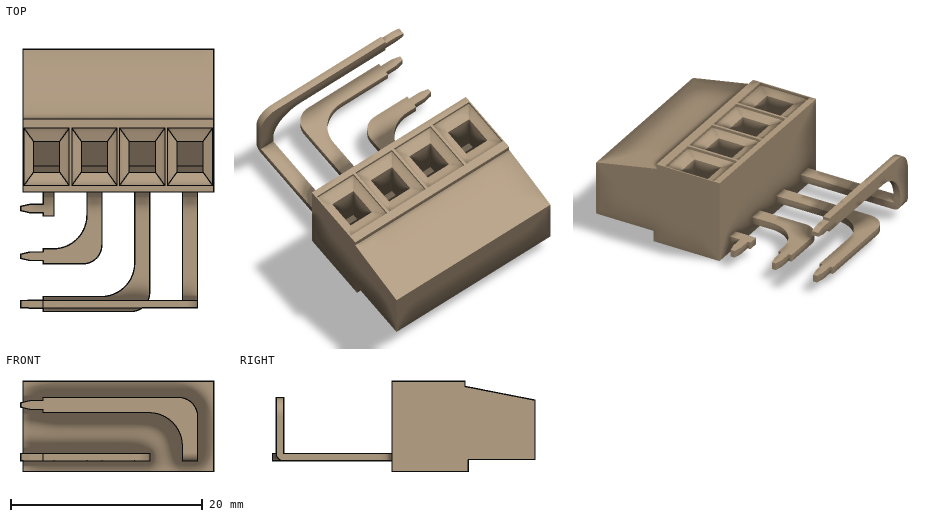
import cadquery as cq


poles = 4
pitch = 5.0
housing_width = 20.0
housing_depth = 15.0
housing_height = 9.5
top_step_y = 7.67
top_step_height = 0.55
back_top_z = 7.5
under_step_y = 8.0
under_step_height = 1.26

entry_width = 4.73
entry_length = 6.0
entry_center_y = 3.7
rim_depth = 0.3
funnel_depth = 0.38
shaft_width = 2.75
shaft_length = 3.25
shaft_floor_z = 3.3
shelf_length = 0.65
shelf_height = 0.82

pin_width = 1.6
pin_thickness = 0.8
pin_z = 1.13
outer_bend_radius = 1.995
inner_bend_radius = 3.5
shoulder_x = 2.12
tip_end_x = -0.22
tip_taper_x = 0.75
tip_width = 0.9
tip_end_width = 0.47
first_row = 1.7
raised_row_z = 6.98

half_pin = pin_width / 2
pin_top_z = pin_z + pin_thickness
first_pole_x = housing_width / 2 - pitch * (poles - 1) / 2
pole_xs = [first_pole_x + pitch * pole for pole in range(poles)]
pin_rows = [first_row + pitch * row for row in range(poles - 1)]


def make_housing():
    """Side profile with a sloped rear top and a raised rear underside."""
    profile = [
        (0, 0),
        (under_step_y, 0),
        (under_step_y, under_step_height),
        (housing_depth, under_step_height),
        (housing_depth, back_top_z),
        (top_step_y, housing_height - top_step_height),
        (top_step_y, housing_height),
        (0, housing_height),
    ]
    return cq.Workplane("YZ").polyline(profile).close().extrude(housing_width)


def make_wire_entry(center_x):
    """Cutter for one wire entry: upright rim, funnel, then a shaft with a low front shelf."""
    rim = (
        cq.Workplane("XY", origin=(center_x, entry_center_y, housing_height))
        .rect(entry_width, entry_length)
        .extrude(-rim_depth)
    )
    funnel = (
        rim.faces("<Z").workplane(centerOption="CenterOfMass")
        .rect(entry_width, entry_length)
        .workplane(offset=funnel_depth)
        .rect(shaft_width, shaft_length)
        .loft(combine=False)
    )
    shaft_height = housing_height - rim_depth - funnel_depth - shaft_floor_z
    shaft = (
        cq.Workplane("XY", origin=(center_x, entry_center_y, shaft_floor_z))
        .rect(shaft_width, shaft_length)
        .extrude(shaft_height)
    )
    shelf_center_y = entry_center_y - (shaft_length - shelf_length) / 2
    shelf = (
        cq.Workplane("XY", origin=(center_x, shelf_center_y, shaft_floor_z))
        .rect(shaft_width, shelf_length)
        .extrude(shelf_height)
    )
    return rim.union(funnel).union(shaft.cut(shelf))




def draw_tip(outline, row):
    """Continue an outline from the far shoulder around the tapered tip to the near side."""
    return (
        outline
        .lineTo(shoulder_x, row + tip_width / 2)
        .lineTo(tip_taper_x, row + tip_width / 2)
        .lineTo(tip_end_x, row + tip_end_width / 2)
        .lineTo(tip_end_x, row - tip_end_width / 2)
        .lineTo(tip_taper_x, row - tip_width / 2)
        .lineTo(shoulder_x, row - tip_width / 2)
    )


def make_short_pin(plane, leg_x, row):
    """Pin with a straight leg cut off at the shoulder, so the tip leaves it directly."""
    outer_x = leg_x + half_pin
    outline = (
        cq.Workplane(plane)
        .moveTo(shoulder_x, 0)
        .lineTo(outer_x, 0)
        .lineTo(outer_x, row + half_pin)
        .lineTo(shoulder_x, row + half_pin)
    )
    return draw_tip(outline, row).close().extrude(pin_thickness)


def make_bent_pin(plane, leg_x, row):
    """L-shaped pin with a rounded outer corner and a wide inner bend."""
    inner_x = leg_x - half_pin
    outer_x = leg_x + half_pin
    outline = (
        cq.Workplane(plane)
        .moveTo(inner_x, 0)
        .lineTo(outer_x, 0)
        .lineTo(outer_x, row + half_pin - outer_bend_radius)
        .radiusArc((outer_x - outer_bend_radius, row + half_pin), -outer_bend_radius)
        .lineTo(shoulder_x, row + half_pin)
    )
    return (
        draw_tip(outline, row)
        .lineTo(shoulder_x, row - half_pin)
        .lineTo(inner_x - inner_bend_radius, row - half_pin)
        .radiusArc((inner_x, row - half_pin - inner_bend_radius), inner_bend_radius)
        .close()
        .extrude(pin_thickness)
    )


def make_upright_pin(leg_x, row):
    """Pin that runs forward to its row, bends upward and then turns left like the others."""
    front_y = -row - pin_thickness / 2
    bend_y = front_y + pin_thickness
    base = (
        cq.Workplane("YZ", origin=(leg_x - half_pin, 0, 0))
        .moveTo(0, pin_z)
        .lineTo(bend_y, pin_z)
        .radiusArc((front_y, pin_top_z), pin_thickness)
        .lineTo(0, pin_top_z)
        .close()
        .extrude(pin_width)
    )
    upright_plane = cq.Plane(origin=(0, bend_y, pin_top_z), xDir=(1, 0, 0), normal=(0, -1, 0))
    return base.union(make_bent_pin(upright_plane, leg_x, raised_row_z - pin_top_z))


result = make_housing()
for pole_x in pole_xs:
    result = result.cut(make_wire_entry(pole_x))

flat_plane = cq.Plane(origin=(0, 0, pin_top_z), xDir=(1, 0, 0), normal=(0, 0, -1))
result = result.union(make_short_pin(flat_plane, pole_xs[0], pin_rows[0]))
for pole_x, pin_row in zip(pole_xs[1:-1], pin_rows[1:]):
    result = result.union(make_bent_pin(flat_plane, pole_x, pin_row))
result = result.union(make_upright_pin(pole_xs[-1], pin_rows[-1]))